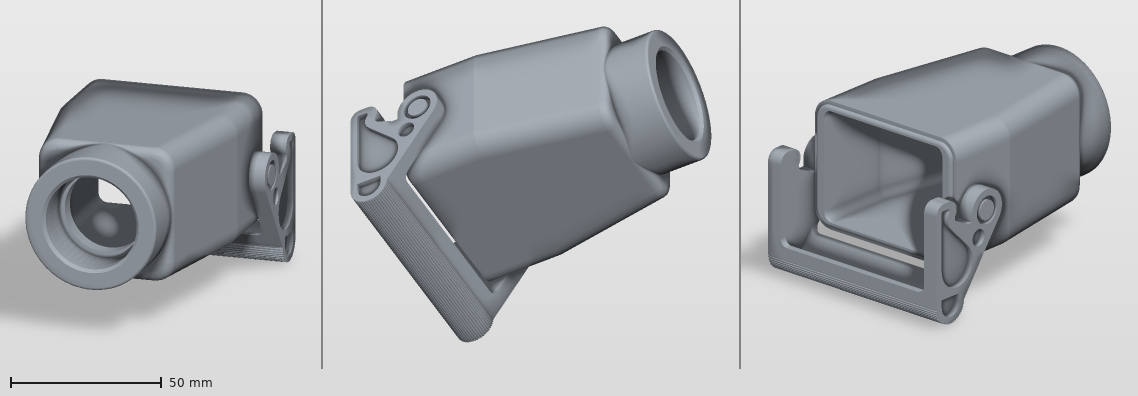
import cadquery as cq
import math


hood_half_height = 23.1
hood_half_width = 31.5
hood_front_half_width = 23.3
hood_front = 15.2
hood_kink = 60.7
hood_back = 87.3
hood_corner_radius = 7.1
hood_front_fillet = 3.1
rim_inset = 1.4
rim_length = 1.2

front_wall = 5.4
side_wall = 5.2
top_wall = 3.1
cavity_corner_radius = 3.1

entry_radius = 23.0
entry_edge_fillet = 0.9
bore_radius = 15.9
bore_chamfer = 1.0
passage_radius = 13.9

lever_back = 103.9
overall_height = 60.3
lever_half_width = 37.5
arm_inner_x = 31.9
pocket_depth = 2.1
rail_wall = 2.5

pivot_y, pivot_z, pivot_radius = 78.9, -2.0, 7.5
stud_radius = 5.6
pin_ring_radius = 5.0
pin_radius = 3.5
arm_hole_y, arm_hole_z, arm_hole_radius = 83.0, -10.6, 3.0

hook_radius = 3.7
hook_top = 6.6
hook_tip_y = 97.7
hook_throat_y, hook_throat_z = 93.1, -0.1
ramp_end_y, ramp_end_z = 88.6, -4.0
notch_floor = -4.2

bar_radius = 6.9
bar_y = lever_back - bar_radius
bar_z = hood_half_height - overall_height + bar_radius
bar_top = -26.0
bar_corner_fillet = 2.7
channel_radius = 5.2
grip_groove_radius = 0.26
grip_groove_pitch = 7.5

drop_y, drop_z, drop_radius = 93.7, -17.4, 7.7
drop_top = 4.2
drop_neck_y, drop_neck_radius = 93.9, 4.6
drop_neck_half_height = 2.8
drop_tip_fillet = 0.6
bar_pocket_top = -27.5


def polar(y, z, radius, degrees):
    """Point on a circle in the YZ plane; the angle runs from +Y towards +Z."""
    angle = math.radians(degrees)
    return (y + radius * math.cos(angle), z + radius * math.sin(angle))


def direction(start, end):
    """Angle of the line from start to end, from 0 to 360 degrees."""
    return math.degrees(math.atan2(end[1] - start[1], end[0] - start[0])) % 360


def disc(y, z, radius, x_start, length):
    """Cylinder along X."""
    return cq.Workplane("YZ", origin=(x_start, y, z)).circle(radius).extrude(length)


def tapered_block(front, front_half_width, back_half_width, back, half_height, corner_radius):
    """Block with straight sides behind the kink, tapering in to the front, with rounded long edges."""
    outline = [
        (-front_half_width, front),
        (front_half_width, front),
        (back_half_width, hood_kink),
        (back_half_width, back),
        (-back_half_width, back),
        (-back_half_width, hood_kink),
    ]
    block = cq.Workplane("XY", origin=(0, 0, -half_height)).polyline(outline).close()
    block = block.extrude(2 * half_height)
    long_edges = block.faces("|Z").edges("not(|X)")
    return long_edges.fillet(corner_radius)


def make_hood():
    """Hood block with a smaller rim behind it, rounded over its whole length."""
    hood = tapered_block(
        hood_front, hood_front_half_width, hood_half_width, hood_back, hood_half_height, hood_corner_radius
    )
    hood = hood.faces("<Y").edges().fillet(hood_front_fillet)

    rim = (
        cq.Workplane("XZ", origin=(0, hood_back - rim_length, 0))
        .rect(2 * (hood_half_width - rim_inset), 2 * (hood_half_height - rim_inset))
        .extrude(-2 * rim_length)
        .edges("|Y")
        .fillet(hood_corner_radius - rim_inset)
        .faces(">Y")
        .edges()
        .fillet(rim_length)
    )
    return hood.union(rim)


def make_cavity():
    """Space inside the hood, following its taper and open at the back."""
    front = hood_front + front_wall
    taper = (hood_half_width - hood_front_half_width) / (hood_kink - hood_front)
    front_half_width = hood_front_half_width + taper * front_wall - side_wall
    return tapered_block(
        front,
        front_half_width,
        hood_half_width - side_wall,
        hood_back + rim_length,
        hood_half_height - top_wall,
        cavity_corner_radius,
    )


def make_entry():
    """Round collar in front of the hood, with a rounded mouth edge."""
    entry = cq.Workplane("XZ").circle(entry_radius).extrude(-(hood_front + front_wall))
    return entry.faces("<Y").edges().fillet(entry_edge_fillet)


def make_entry_bore():
    """Chamfered bore of the collar, stepping down to the passage into the cavity."""
    bore = cq.Workplane("XZ").circle(bore_radius).extrude(-hood_front)
    flare = cq.Workplane("XZ").circle(bore_radius + bore_chamfer)
    flare = flare.workplane(offset=-bore_chamfer).circle(bore_radius).loft()
    passage = cq.Workplane("XZ").circle(passage_radius).extrude(-(hood_front + front_wall))
    return bore.union(flare).union(passage)


def bar_edge_angle():
    """Direction of the sloping lever edge, from the bar up to its tangent point on the pivot end."""
    start = (bar_y - bar_radius, bar_z)
    centre = (pivot_y, pivot_z)
    spread = math.degrees(math.asin(pivot_radius / math.dist(start, centre)))
    return direction(start, centre) + spread


def make_lever_plate():
    """Side outline of the lever, extruded over its whole width."""
    hook = (hook_tip_y, hook_top - hook_radius)
    throat = (hook_throat_y, hook_throat_z)
    throat_radius = math.dist(hook, throat) - hook_radius
    hook_to_throat = direction(hook, throat)
    throat_to_hook = direction(throat, hook)
    ramp_end = (ramp_end_y, ramp_end_z)
    ramp_spread = math.degrees(math.acos(throat_radius / math.dist(throat, ramp_end)))
    ramp_normal = direction(throat, ramp_end) + ramp_spread - 360
    heel_corner = (lever_back - hook_radius, hook_top - hook_radius)
    pivot_tangent = bar_edge_angle() + 90

    outline = (
        cq.Workplane("YZ", origin=(-lever_half_width, 0, 0))
        .moveTo(lever_back, bar_z)
        .lineTo(lever_back, hook_top - hook_radius)
        .threePointArc(polar(*heel_corner, hook_radius, 45), polar(*heel_corner, hook_radius, 90))
        .lineTo(hook_tip_y, hook_top)
        .threePointArc(
            polar(*hook, hook_radius, (90 + hook_to_throat) / 2),
            polar(*hook, hook_radius, hook_to_throat),
        )
        .threePointArc(
            polar(*throat, throat_radius, (throat_to_hook + ramp_normal) / 2),
            polar(*throat, throat_radius, ramp_normal),
        )
        .lineTo(*ramp_end)
        .lineTo(ramp_end_y, notch_floor)
        .lineTo(pivot_y + pivot_radius, notch_floor)
        .lineTo(pivot_y + pivot_radius, pivot_z)
        .threePointArc(
            polar(pivot_y, pivot_z, pivot_radius, pivot_tangent / 2),
            polar(pivot_y, pivot_z, pivot_radius, pivot_tangent),
        )
        .lineTo(bar_y - bar_radius, bar_z)
        .threePointArc((bar_y, bar_z - bar_radius), (lever_back, bar_z))
        .close()
    )
    return outline.extrude(2 * lever_half_width)


def make_arm_gap():
    """Space between the two arms, above the bar."""
    height = hook_top - bar_top
    gap = cq.Workplane("XY", origin=(0, lever_back / 2, bar_top)).rect(2 * arm_inner_x, 2 * lever_back)
    return gap.extrude(height).faces("<Z").edges("|Y").fillet(bar_corner_fillet)


def make_bar_channel():
    """Round-bottomed channel along the top of the bar, its front wall parallel to the sloping edge."""
    centre = (lever_back - rail_wall - channel_radius, bar_top)
    slope = bar_edge_angle()
    slope_start = polar(*centre, channel_radius, slope + 90)
    rise = bar_top + bar_corner_fillet - slope_start[1]
    slope_end = (slope_start[0] + rise / math.tan(math.radians(slope)), slope_start[1] + rise)
    return (
        cq.Workplane("YZ", origin=(-arm_inner_x, 0, 0))
        .moveTo(centre[0] + channel_radius, slope_end[1])
        .lineTo(centre[0] + channel_radius, centre[1])
        .threePointArc(polar(*centre, channel_radius, -60), slope_start)
        .lineTo(*slope_end)
        .close()
        .extrude(2 * arm_inner_x)
    )


def make_drop_pocket(x_start):
    """Drop-shaped pocket: a round belly with a 45 degree flank and a curved neck up into the hook."""
    belly = (drop_y, drop_z)
    flank_start = polar(*belly, drop_radius, 135)
    flank_end_y = drop_neck_y + drop_neck_radius * math.cos(math.radians(45))
    flank_end = (flank_end_y, flank_start[1] + flank_end_y - flank_start[0])
    neck = (drop_neck_y, flank_end[1] + drop_neck_radius * math.sin(math.radians(45)))
    neck_end_angle = math.degrees(math.asin(drop_neck_half_height / drop_neck_radius))
    neck_end = polar(*neck, drop_neck_radius, neck_end_angle)
    back_y = drop_y + drop_radius
    return (
        cq.Workplane("YZ", origin=(x_start, 0, 0))
        .moveTo(back_y, drop_z)
        .lineTo(back_y, drop_top)
        .lineTo(neck_end[0], drop_top)
        .lineTo(*neck_end)
        .threePointArc(polar(*neck, drop_neck_radius, 0), flank_end)
        .lineTo(*flank_start)
        .threePointArc(polar(*belly, drop_radius, -110), (back_y, drop_z))
        .close()
        .extrude(pocket_depth)
        .edges("|X and >Z")
        .fillet(drop_tip_fillet)
    )


def make_bar_pocket(x_start):
    """D-shaped pocket in the end of the bar."""
    radius = bar_radius - rail_wall
    return (
        cq.Workplane("YZ", origin=(x_start, 0, 0))
        .moveTo(bar_y - radius, bar_pocket_top)
        .lineTo(bar_y - radius, bar_z)
        .threePointArc((bar_y, bar_z - radius), (bar_y + radius, bar_z))
        .lineTo(bar_y + radius, bar_pocket_top)
        .close()
        .extrude(pocket_depth)
    )


def make_arm_pockets(x_start):
    """All recesses in the outer face of one arm."""
    pin_ring = disc(pivot_y, pivot_z, pin_ring_radius, x_start, pocket_depth)
    pin_ring = pin_ring.cut(disc(pivot_y, pivot_z, pin_radius, x_start, pocket_depth))
    arm_hole = disc(arm_hole_y, arm_hole_z, arm_hole_radius, x_start, pocket_depth)
    return [make_drop_pocket(x_start), make_bar_pocket(x_start), pin_ring, arm_hole]


def make_grip_grooves():
    """Fine grooves along the rounded underside of the bar."""
    count = int(180 / grip_groove_pitch)
    angles = [180 + grip_groove_pitch * (index + 0.5) for index in range(count)]
    centres = [polar(bar_y, bar_z, bar_radius, angle) for angle in angles]
    grooves = cq.Workplane("YZ", origin=(-lever_half_width, 0, 0)).pushPoints(centres)
    return grooves.circle(grip_groove_radius).extrude(2 * lever_half_width)


def make_lever():
    """U-shaped locking lever: two recessed arms joined by the bar below the hood."""
    lever = make_lever_plate().cut(make_arm_gap()).cut(make_bar_channel()).cut(make_grip_grooves())
    for x_start in (-lever_half_width, lever_half_width - pocket_depth):
        for pocket in make_arm_pockets(x_start):
            lever = lever.cut(pocket)
    return lever


def make_studs():
    """Pivot studs that carry the lever arms on the sides of the hood."""
    length = arm_inner_x - hood_half_width + side_wall
    right = disc(pivot_y, 0, stud_radius, arm_inner_x - length, length)
    return right.union(right.mirror("YZ"))


housing = make_hood().union(make_entry()).cut(make_cavity()).cut(make_entry_bore())
result = housing.union(make_studs()).union(make_lever())